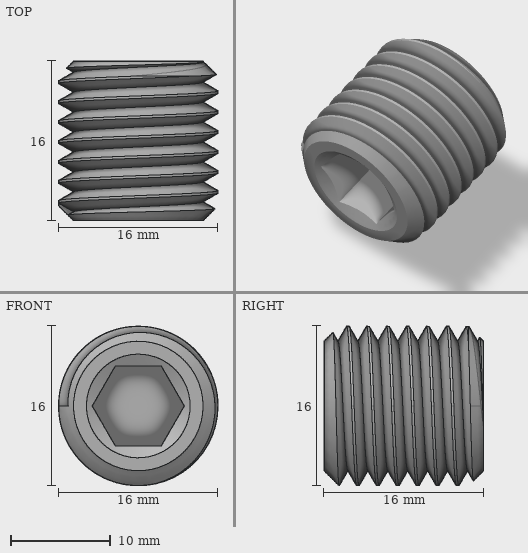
import cadquery as cq
import math

diameter = 16.0
length = 16.0
pitch = 2.0
end_chamfer = 1.5
hex_across_flats = 8.0
socket_depth = 8.0
countersink_diameter = 10.4
countersink_half_angle = 60.0
groove_start = 0.9
groove_turns = 7.9
groove_overcut = 0.13

flank_angle = math.radians(30)
radius = diameter / 2
groove_half_width = pitch * 7 / 16
root_radius = radius - groove_half_width / math.tan(flank_angle)


def make_blank():
    """Plain chamfered cylinder standing on Z, socket end at Z = 0."""
    return cq.Workplane("XY").circle(radius).extrude(length).faces("<Z or >Z").chamfer(end_chamfer)


def make_thread_groove():
    """Right-handed V groove that starts abruptly on the -X side."""
    cutter_radius = radius + groove_overcut
    half_width = groove_half_width + groove_overcut * math.tan(flank_angle)
    path = cq.Wire.makeHelix(pitch, groove_turns * pitch, root_radius)
    groove = (
        cq.Workplane("XZ")
        .moveTo(root_radius, 0)
        .lineTo(cutter_radius, half_width)
        .lineTo(cutter_radius, -half_width)
        .close()
        .sweep(cq.Workplane(path), isFrenet=True)
    )
    axis_end = (0, 0, 1)
    return groove.rotate((0, 0, 0), axis_end, 180).translate((0, 0, groove_start))


def make_socket():
    """Hexagonal socket with two corners on the X axis and a countersunk mouth."""
    hexagon_diameter = hex_across_flats / math.cos(math.radians(30))
    hexagon = cq.Workplane("XY").polygon(6, hexagon_diameter).extrude(socket_depth)
    mouth_radius = countersink_diameter / 2
    cone_depth = mouth_radius / math.tan(math.radians(countersink_half_angle))
    cone = cq.Workplane("XY").add(cq.Solid.makeCone(mouth_radius, 0, cone_depth))
    return hexagon.union(cone)


screw = make_blank().cut(make_thread_groove()).cut(make_socket())

result = screw.rotate((0, 0, 0), (1, 0, 0), -90).translate((0, -length / 2, 0))